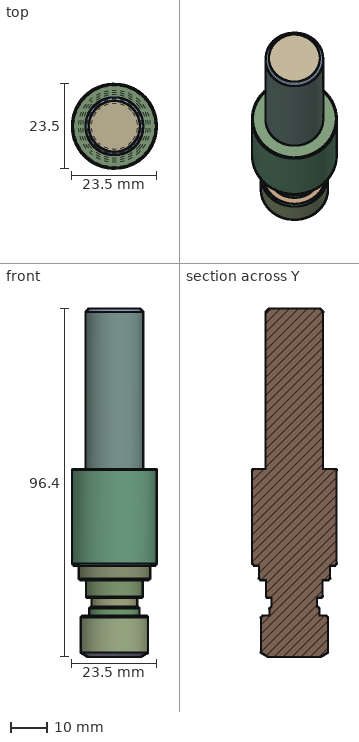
import cadquery as cq

HEAD_DIAMETER = 18.7
HEAD_BOTTOM_DIAMETER = 14.6
SHOULDER_DIAMETER = 14.0
NECK_DIAMETER = 12.7
PILOT_DIAMETER = 15.8
STEP_DIAMETER = 19.9
COLLAR_DIAMETER = 23.5
SHANK_DIAMETER = 16.0

HEAD_TOP = 11.6
NECK_BOTTOM = 14.1
PILOT_BOTTOM = 16.4
STEP_BOTTOM = 21.2
COLLAR_BOTTOM = 25.3
COLLAR_TOP = 52.1
TOTAL_HEIGHT = 96.4

HEAD_BOTTOM_BEVEL_HEIGHT = 1.3
HEAD_TOP_CHAMFER = 0.6
PILOT_CHAMFER = 0.4
STEP_CHAMFER = 0.6
COLLAR_BOTTOM_CHAMFER = 0.6
COLLAR_TOP_CHAMFER = 0.3
SHANK_CHAMFER = 1.0


def turned_section(diameter, bottom, top, bottom_chamfer=0, top_chamfer=0):
    """Cylinder about Z with optional 45 degree chamfers on its end edges."""
    section = cq.Workplane("XY").workplane(offset=bottom).circle(diameter / 2).extrude(top - bottom)
    if bottom_chamfer:
        section = section.faces("<Z").chamfer(bottom_chamfer)
    if top_chamfer:
        section = section.faces(">Z").chamfer(top_chamfer)
    return section


def head():
    """Pin head with a shallow bevel at its free end."""
    bevel = (
        cq.Workplane("XY")
        .circle(HEAD_BOTTOM_DIAMETER / 2)
        .workplane(offset=HEAD_BOTTOM_BEVEL_HEIGHT)
        .circle(HEAD_DIAMETER / 2)
        .loft(ruled=True)
    )
    body = turned_section(
        HEAD_DIAMETER, HEAD_BOTTOM_BEVEL_HEIGHT, HEAD_TOP, top_chamfer=HEAD_TOP_CHAMFER
    )
    return bevel.union(body)


shoulder_chamfer = (SHOULDER_DIAMETER - NECK_DIAMETER) / 2

sections = [
    turned_section(SHOULDER_DIAMETER, HEAD_TOP, NECK_BOTTOM, top_chamfer=shoulder_chamfer),
    turned_section(NECK_DIAMETER, NECK_BOTTOM, PILOT_BOTTOM),
    turned_section(PILOT_DIAMETER, PILOT_BOTTOM, STEP_BOTTOM, bottom_chamfer=PILOT_CHAMFER),
    turned_section(STEP_DIAMETER, STEP_BOTTOM, COLLAR_BOTTOM, bottom_chamfer=STEP_CHAMFER),
    turned_section(
        COLLAR_DIAMETER, COLLAR_BOTTOM, COLLAR_TOP, COLLAR_BOTTOM_CHAMFER, COLLAR_TOP_CHAMFER
    ),
    turned_section(SHANK_DIAMETER, COLLAR_TOP, TOTAL_HEIGHT, top_chamfer=SHANK_CHAMFER),
]

result = head()
for section in sections:
    result = result.union(section)